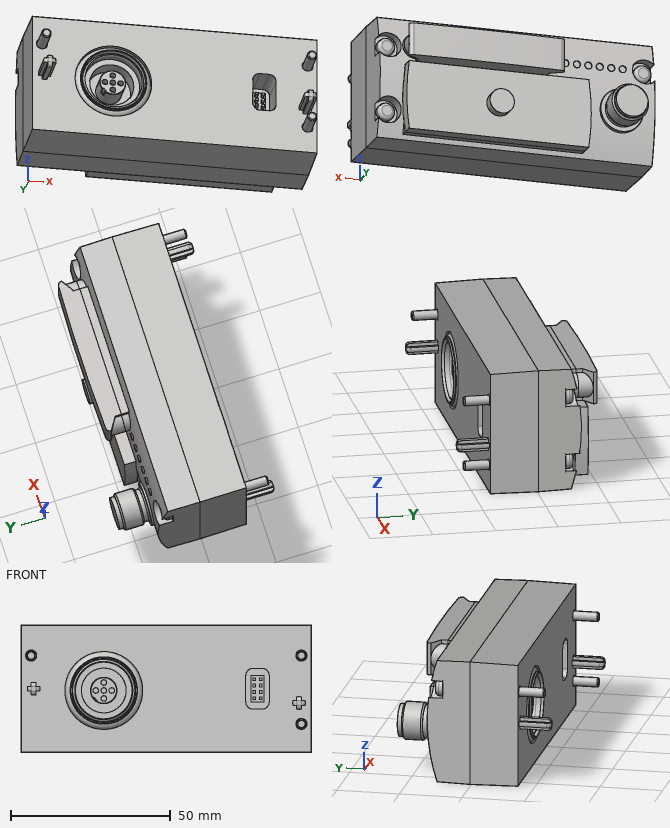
import cadquery as cq
import math


LENGTH = 91.0
HEIGHT = 40.0
MID_Z = HEIGHT / 2
PARTING_Y = 15.3
END_DRAFT = 0.14
SIDE_DRAFT = 0.3
COVER_EDGE_Y = 25.75
COVER_CROWN_Y = 29.0

SCREW_INSET = 3.2
UPPER_SCREW_Z = 30.4
LOWER_SCREW_Z = 9.0
SCREW_PLACES = [
    (SCREW_INSET, UPPER_SCREW_Z),
    (LENGTH - SCREW_INSET, UPPER_SCREW_Z),
    (LENGTH - SCREW_INSET, LOWER_SCREW_Z),
]
SCREW_D = 3.0
SCREW_HOLE_D = 3.5
SCREW_TIP_Y = -8.0
SCREW_TIP_CHAMFER = 0.4
HEAD_D = 5.6
HEAD_TOP_D = 3.5
HEAD_EDGE_Y = 25.4
HEAD_TOP_Y = 26.7
RECESS_D = 8.3
RECESS_FLOOR_Y = 24.0

KEY_PLACES = [(4.0, MID_Z), (87.1, 15.6)]
KEY_D = 4.0
KEY_FIN_WIDTH = 1.55
KEY_LENGTH = 10.0
KEY_TIP_RADIUS = 1.2

POCKET_X = 74.1
POCKET_WIDTH = 7.4
POCKET_HEIGHT = 12.7
POCKET_CORNER = 2.3
POCKET_DEPTH = 10.9
HEADER_WIDTH = 4.1
HEADER_HEIGHT = 8.2
HEADER_THICKNESS = 1.8
PIN_PITCH = 2.0
PIN_SIDE = 0.8
PIN_LENGTH = 1.8
PIN_COLUMNS = 2
PIN_ROWS = 4

SOCKET_X = 25.9
SOCKET_Z = 19.5
SOCKET_D = 24.4
SOCKET_DEPTH = 9.1
SEAL_ROOT_Y = 1.6
SEAL_FLARE_RADIUS = 2.2
SEAL_FLARE_END_Y = -0.3
SEAL_D = 21.1
SEAL_RIM_Y = -0.55
SEAL_TIP_Y = -1.0
SEAL_TIP_D = 20.75
SEAL_LIP_D = 20.0
VALLEY_D = 19.5
VALLEY_Y = 0.3
RIDGE_D = 18.2
RIDGE_Y = -0.3
TAPER_END_Y = 1.3
SHELF_Y = 2.7
SHELF_D = 17.7
BORE_D = 14.0
BORE_FLOOR_Y = 8.2
INSERT_D = 8.3
INSERT_FACE_D = 8.0
INSERT_FACE_Y = 1.1
NOTCH_ANGLE = 45.0
NOTCH_WIDTH = 1.3
NOTCH_DEPTH = 0.5
CONTACT_D = 1.7
CONTACT_SPACING = 2.5
CONTACT_DEPTH = 2.7

LIGHT_D = 2.3
LIGHT_COUNT = 6
LIGHT_FIRST_X = 10.65
LIGHT_SPACING = 3.78
LIGHT_Z = UPPER_SCREW_Z
LIGHT_FACE_Y = 28.5

CONNECTOR_X = 11.3
CONNECTOR_Z = 16.4
FLANGE_D = 14.0
FLANGE_SEAT_Y = 26.4
FLANGE_FACE_Y = 29.7
NECK_ROOT_D = 11.1
NECK_D = 10.5
NECK_START_Y = 30.2
COLLAR_D = 12.0
COLLAR_START_Y = 31.7
COLLAR_END_Y = 38.4
COLLAR_CHAMFER = 0.55
CONNECTOR_END_Y = 39.8

HOOD_X0 = 31.9
HOOD_X1 = 83.2
HOOD_MID_X = (HOOD_X0 + HOOD_X1) / 2
HOOD_Z = 30.5
HOOD_HEIGHT = 10.5
HOOD_SEAT_Y = 29.7
HOOD_NOSE_D = 8.0
HOOD_NOSE_LENGTH = 4.1
HOOD_SLANT_START_Y = 31.7
HOOD_SLANT_END_Y = 34.3
HOOD_SHOULDER_Y = 35.7
HOOD_CROWN_Y = 36.2
HOOD_CORNER = 1.3

CAP_X0 = 22.5
CAP_X1 = 83.4
CAP_Z0 = 1.8
CAP_Z1 = 24.2
CAP_MID_X = (CAP_X0 + CAP_X1) / 2
CAP_MID_Z = (CAP_Z0 + CAP_Z1) / 2
CAP_END_BULGE = 0.8
CAP_SEAT_Y = 28.6
CAP_FACE_Y = 32.8
KNOB_D = 8.0
KNOB_FACE_Y = 35.9

BURIED_Y = 22.75


def xz_plane(y):
    """Sketch plane at height y: local axes are X and Z, and it extrudes towards -Y."""
    return cq.Workplane("XZ", origin=(0, y, 0))


def cylinder(x, z, diameter, y0, y1):
    return xz_plane(y1).center(x, z).circle(diameter / 2).extrude(y1 - y0)


def box(x0, x1, y0, y1, z0, z1):
    return cq.Workplane("XY").box(x1 - x0, y1 - y0, z1 - z0, centered=False).translate((x0, y0, z0))


def turned(profile, x, z):
    """Solid of revolution about the Y direction; the profile's axes are radius and y."""
    return profile.revolve(360, (0, 0, 0), (0, 1, 0)).translate((x, 0, z))


def drafted_block(length, towards_y):
    """Block that starts as the full outline at the parting plane and narrows with the draft."""
    return (
        xz_plane(PARTING_Y)
        .center(LENGTH / 2, MID_Z)
        .rect(LENGTH, HEIGHT)
        .workplane(offset=-length * towards_y)
        .rect(LENGTH - 2 * END_DRAFT, HEIGHT - 2 * SIDE_DRAFT)
        .loft()
    )


def make_key(x, z):
    outer = cylinder(x, z, KEY_D, -KEY_LENGTH, 0).faces("<Y").edges().fillet(KEY_TIP_RADIUS)
    half_fin = KEY_FIN_WIDTH / 2
    upright = box(x - half_fin, x + half_fin, -KEY_LENGTH, 0, z - KEY_D, z + KEY_D)
    level = box(x - KEY_D, x + KEY_D, -KEY_LENGTH, 0, z - half_fin, z + half_fin)
    return outer.intersect(upright.union(level))


def make_header():
    body = (
        xz_plane(POCKET_DEPTH)
        .center(POCKET_X, MID_Z)
        .rect(HEADER_WIDTH, HEADER_HEIGHT)
        .extrude(HEADER_THICKNESS)
    )
    pins = (
        xz_plane(POCKET_DEPTH - HEADER_THICKNESS)
        .center(POCKET_X, MID_Z)
        .rarray(PIN_PITCH, PIN_PITCH, PIN_COLUMNS, PIN_ROWS)
        .rect(PIN_SIDE, PIN_SIDE)
        .extrude(PIN_LENGTH)
    )
    return body.union(pins)


def make_base():
    base = drafted_block(PARTING_Y, -1)
    pocket = (
        xz_plane(POCKET_DEPTH)
        .center(POCKET_X, MID_Z)
        .rect(POCKET_WIDTH, POCKET_HEIGHT)
        .extrude(POCKET_DEPTH)
        .edges("|Y")
        .fillet(POCKET_CORNER)
    )
    base = base.cut(pocket).union(make_header())
    base = base.cut(cylinder(SOCKET_X, SOCKET_Z, SOCKET_D, 0, SOCKET_DEPTH))
    for x, z in SCREW_PLACES:
        base = base.cut(cylinder(x, z, SCREW_HOLE_D, 0, PARTING_Y))
    for x, z in KEY_PLACES:
        base = base.union(make_key(x, z))
    return base


def hood_box_outline(y0, y1):
    """Middle part of the hood, between its two rounded noses."""
    x0 = HOOD_X0 + HOOD_NOSE_LENGTH
    x1 = HOOD_X1 - HOOD_NOSE_LENGTH
    return box(x0, x1, y0, y1, HOOD_Z - HOOD_HEIGHT / 2, HOOD_Z + HOOD_HEIGHT / 2)


def hood_foot(y0, y1):
    """Middle box with a half-round nose at each end."""
    noses = (
        xz_plane(y1)
        .center(HOOD_MID_X, HOOD_Z)
        .slot2D(HOOD_X1 - HOOD_X0, HOOD_NOSE_D)
        .extrude(y1 - y0)
    )
    return hood_box_outline(y0, y1).union(noses)


def make_hood():
    x0 = HOOD_X0 + HOOD_NOSE_LENGTH
    x1 = HOOD_X1 - HOOD_NOSE_LENGTH
    top = (
        cq.Workplane("XY", origin=(0, 0, HOOD_Z - HOOD_HEIGHT / 2))
        .moveTo(x0, HOOD_SLANT_START_Y)
        .lineTo(HOOD_X0, HOOD_SLANT_END_Y)
        .lineTo(HOOD_X0, HOOD_SHOULDER_Y)
        .threePointArc((HOOD_MID_X, HOOD_CROWN_Y), (HOOD_X1, HOOD_SHOULDER_Y))
        .lineTo(HOOD_X1, HOOD_SLANT_END_Y)
        .lineTo(x1, HOOD_SLANT_START_Y)
        .close()
        .extrude(HOOD_HEIGHT)
    )
    shoulders = cq.selectors.BoxSelector(
        (HOOD_X0 - 0.9, HOOD_SHOULDER_Y - HOOD_CORNER / 2, 0),
        (HOOD_X1 + 0.9, HOOD_CROWN_Y, HEIGHT),
    )
    top = top.edges("|Z").edges(shoulders).fillet(HOOD_CORNER)
    return hood_foot(HOOD_SEAT_Y, HOOD_SLANT_END_Y).union(top)


def make_cap():
    cap = (
        xz_plane(CAP_FACE_Y)
        .moveTo(CAP_X0 + CAP_END_BULGE, CAP_Z0)
        .lineTo(CAP_X1 - CAP_END_BULGE, CAP_Z0)
        .threePointArc((CAP_X1, CAP_MID_Z), (CAP_X1 - CAP_END_BULGE, CAP_Z1))
        .lineTo(CAP_X0 + CAP_END_BULGE, CAP_Z1)
        .threePointArc((CAP_X0, CAP_MID_Z), (CAP_X0 + CAP_END_BULGE, CAP_Z0))
        .close()
        .extrude(CAP_FACE_Y - CAP_SEAT_Y)
    )
    return cap.union(cylinder(CAP_MID_X, CAP_MID_Z, KNOB_D, CAP_SEAT_Y, KNOB_FACE_Y))


def make_cover(cap):
    crowned = (
        cq.Workplane("YZ")
        .moveTo(PARTING_Y, 0)
        .lineTo(COVER_EDGE_Y, 0)
        .threePointArc((COVER_CROWN_Y, MID_Z), (COVER_EDGE_Y, HEIGHT))
        .lineTo(PARTING_Y, HEIGHT)
        .close()
        .extrude(LENGTH)
    )
    cover = drafted_block(COVER_CROWN_Y - PARTING_Y, 1).intersect(crowned)

    for i in range(LIGHT_COUNT):
        x = LIGHT_FIRST_X + i * LIGHT_SPACING
        cover = cover.union(cylinder(x, LIGHT_Z, LIGHT_D, BURIED_Y, LIGHT_FACE_Y))

    cover = cover.union(hood_foot(BURIED_Y, HOOD_SEAT_Y))
    pad = box(CAP_X0 + CAP_END_BULGE, CAP_X1 - CAP_END_BULGE, BURIED_Y, CAP_SEAT_Y, CAP_Z0, CAP_Z1)
    cover = cover.union(pad).cut(cap)
    cover = cover.cut(cylinder(CONNECTOR_X, CONNECTOR_Z, FLANGE_D, FLANGE_SEAT_Y, FLANGE_FACE_Y))
    for x, z in SCREW_PLACES:
        cover = cover.cut(cylinder(x, z, RECESS_D, RECESS_FLOOR_Y, COVER_CROWN_Y))
        cover = cover.cut(cylinder(x, z, SCREW_HOLE_D, PARTING_Y, RECESS_FLOOR_Y))
    return cover


def make_screw(x, z):
    radius = SCREW_D / 2
    profile = (
        cq.Workplane("XY")
        .moveTo(0, SCREW_TIP_Y)
        .lineTo(radius - SCREW_TIP_CHAMFER, SCREW_TIP_Y)
        .lineTo(radius, SCREW_TIP_Y + SCREW_TIP_CHAMFER)
        .lineTo(radius, RECESS_FLOOR_Y)
        .lineTo(HEAD_D / 2, RECESS_FLOOR_Y)
        .lineTo(HEAD_D / 2, HEAD_EDGE_Y)
        .radiusArc((HEAD_TOP_D / 2, HEAD_TOP_Y), -(HEAD_TOP_Y - HEAD_EDGE_Y))
        .lineTo(0, HEAD_TOP_Y)
        .close()
    )
    return turned(profile, x, z)


def make_connector():
    collar_face_d = COLLAR_D - 2 * COLLAR_CHAMFER
    outline = [
        (0, FLANGE_SEAT_Y),
        (FLANGE_D / 2, FLANGE_SEAT_Y),
        (FLANGE_D / 2, FLANGE_FACE_Y),
        (NECK_ROOT_D / 2, FLANGE_FACE_Y),
        (NECK_D / 2, NECK_START_Y),
        (NECK_D / 2, COLLAR_START_Y),
        (collar_face_d / 2, COLLAR_START_Y),
        (COLLAR_D / 2, COLLAR_START_Y + COLLAR_CHAMFER),
        (COLLAR_D / 2, COLLAR_END_Y - COLLAR_CHAMFER),
        (collar_face_d / 2, COLLAR_END_Y),
        (NECK_D / 2, COLLAR_END_Y),
        (NECK_D / 2, CONNECTOR_END_Y),
        (0, CONNECTOR_END_Y),
    ]
    profile = cq.Workplane("XY").polyline(outline).close()
    return turned(profile, CONNECTOR_X, CONNECTOR_Z)


def make_socket():
    chamfer = (INSERT_D - INSERT_FACE_D) / 2
    mouth = [
        (SEAL_D / 2, SEAL_RIM_Y),
        (SEAL_TIP_D / 2, SEAL_TIP_Y),
        (SEAL_LIP_D / 2, SEAL_TIP_Y),
        (VALLEY_D / 2, VALLEY_Y),
        (RIDGE_D / 2, RIDGE_Y),
        (SHELF_D / 2, TAPER_END_Y),
        (SHELF_D / 2, SHELF_Y),
        (BORE_D / 2, SHELF_Y),
        (BORE_D / 2, BORE_FLOOR_Y),
        (INSERT_D / 2, BORE_FLOOR_Y),
        (INSERT_D / 2, INSERT_FACE_Y + chamfer),
        (INSERT_FACE_D / 2, INSERT_FACE_Y),
        (0, INSERT_FACE_Y),
    ]
    profile = (
        cq.Workplane("XY")
        .moveTo(0, SOCKET_DEPTH)
        .lineTo(SOCKET_D / 2, SOCKET_DEPTH)
        .lineTo(SOCKET_D / 2, SEAL_ROOT_Y)
        .radiusArc((SEAL_D / 2, SEAL_FLARE_END_Y), SEAL_FLARE_RADIUS)
        .polyline(mouth, includeCurrent=True)
        .close()
    )
    socket = turned(profile, SOCKET_X, SOCKET_Z)
    offsets = [(0, 0)]
    for quarter in range(4):
        angle = quarter * math.pi / 2
        offsets.append((CONTACT_SPACING * math.cos(angle), CONTACT_SPACING * math.sin(angle)))
    contacts = (
        xz_plane(INSERT_FACE_Y + CONTACT_DEPTH)
        .center(SOCKET_X, SOCKET_Z)
        .pushPoints(offsets)
        .circle(CONTACT_D / 2)
        .extrude(CONTACT_DEPTH)
    )
    notch = (
        xz_plane(INSERT_FACE_Y + CONTACT_DEPTH)
        .center(-INSERT_D / 2, 0)
        .rect(2 * NOTCH_DEPTH, NOTCH_WIDTH)
        .extrude(CONTACT_DEPTH)
        .rotate((0, 0, 0), (0, -1, 0), NOTCH_ANGLE)
        .translate((SOCKET_X, 0, SOCKET_Z))
    )
    return socket.cut(contacts).cut(notch)


base = make_base()
cap = make_cap()
cover = make_cover(cap)
hood = make_hood()
connector = make_connector()
socket = make_socket()
screws = [make_screw(x, z).val() for x, z in SCREW_PLACES]

result = cq.Compound.makeCompound(
    [base.val(), cover.val(), hood.val(), cap.val(), connector.val(), socket.val(), *screws]
)